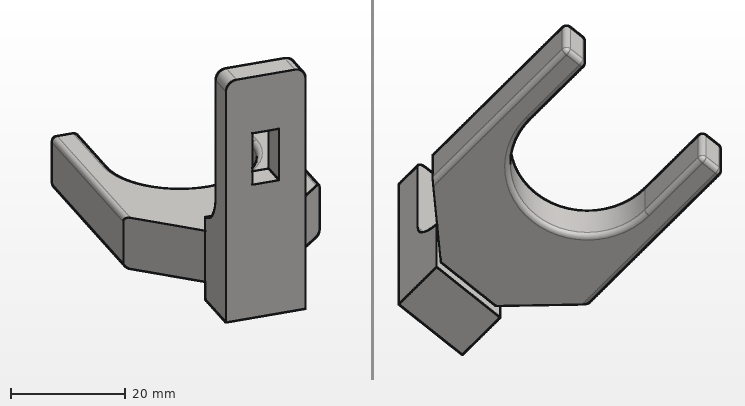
import cadquery as cq

fork_length = 46.2
fork_width = 37.0
fork_thickness = 10.0
fork_bottom = 3.05
prong_thickness = 5.0
straight_edge_length = 35.0
neck_width = 13.0
slot_straight_length = 15.0
fork_edge_radius = 1.0

bracket_width = 15.0
bracket_height = 47.0
plate_thickness = 5.0
foot_thickness = 9.95
blend_radius = 6.0
blend_top = 22.0
bracket_corner_radius = 2.0

window_width = 5.0
window_height = 10.0
window_bottom = 26.0

half_fork = fork_width / 2
slot_radius = half_fork - prong_thickness
foot_front = fork_length
plate_front = foot_front + foot_thickness - plate_thickness
bracket_back = foot_front + foot_thickness


def make_fork():
    """U-shaped fork tapering to a neck, with rounded prong edges."""
    half_neck = neck_width / 2
    slot_end = slot_straight_length + slot_radius
    body = (
        cq.Workplane("XY", origin=(0, 0, fork_bottom))
        .moveTo(0, half_fork)
        .lineTo(straight_edge_length, half_fork)
        .lineTo(fork_length, half_neck)
        .lineTo(fork_length, -half_neck)
        .lineTo(straight_edge_length, -half_fork)
        .lineTo(0, -half_fork)
        .lineTo(0, -slot_radius)
        .lineTo(slot_straight_length, -slot_radius)
        .threePointArc((slot_end, 0), (slot_straight_length, slot_radius))
        .lineTo(0, slot_radius)
        .close()
        .extrude(fork_thickness)
    )
    tip_corners = body.edges("|Z").edges("<X")
    side_edges = body.faces("<Y or >Y").edges("|X")
    tip_edges = body.faces("<X").edges("|Y")
    slot_box = cq.selectors.BoxSelector(
        (fork_edge_radius, -slot_radius - fork_edge_radius, 0),
        (slot_end + fork_edge_radius, slot_radius + fork_edge_radius, bracket_height),
    )
    slot_edges = body.edges(slot_box).edges("not |Z")
    rounded = tip_corners.add(side_edges).add(tip_edges).add(slot_edges)
    return rounded.fillet(fork_edge_radius)


def make_bracket():
    """Upright plate with a thicker foot, a concave blend and a rectangular window."""
    blend_centre_x = plate_front - blend_radius
    drop_at_foot = (blend_radius**2 - (foot_front - blend_centre_x) ** 2) ** 0.5
    body = (
        cq.Workplane("XZ", origin=(0, bracket_width / 2, 0))
        .moveTo(foot_front, 0)
        .lineTo(bracket_back, 0)
        .lineTo(bracket_back, bracket_height)
        .lineTo(plate_front, bracket_height)
        .lineTo(plate_front, blend_top)
        .radiusArc((foot_front, blend_top - drop_at_foot), blend_radius)
        .close()
        .extrude(bracket_width)
    )
    body = body.faces(">Z").edges("|X").fillet(bracket_corner_radius)
    window = cq.Workplane("XY").box(
        plate_thickness, window_width, window_height, centered=(False, True, False)
    )
    return body.cut(window.translate((plate_front, 0, window_bottom)))


fork = make_fork()
bracket = make_bracket()
result = cq.Compound.makeCompound([fork.val(), bracket.val()])